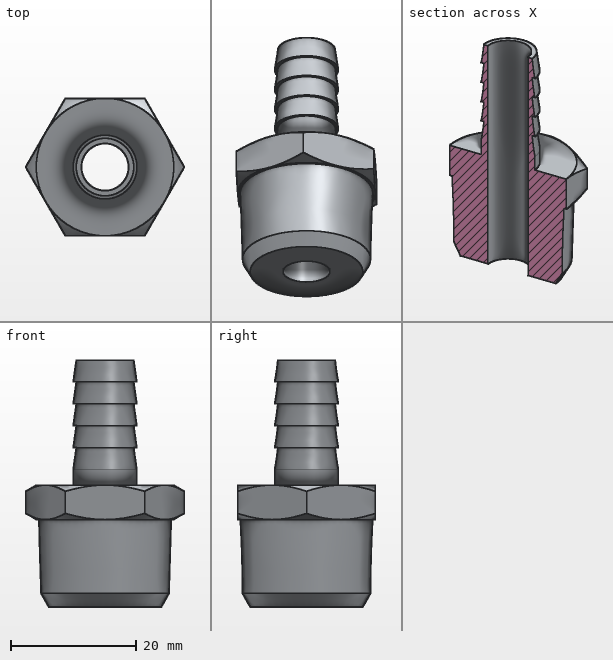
import cadquery as cq
import math

HEX_SIDES = 6
HEX_ACROSS_FLATS = 22.0
HEX_HEIGHT = 5.5
HEX_CHAMFER_ANGLE = 30.0

SPIGOT_LENGTH = 14.0
SPIGOT_TOP_DIAMETER = 21.2
SPIGOT_LOWER_DIAMETER = 20.5
SPIGOT_TIP_DIAMETER = 18.0
SPIGOT_TIP_LENGTH = 2.2

COLLAR_LENGTH = 2.5
BARB_COUNT = 5
BARB_PITCH = 3.5
BARB_LARGE_DIAMETER = 10.2
BARB_SMALL_DIAMETER = 9.2

BORE_DIAMETER = 7.5

HEX_BOTTOM = SPIGOT_LENGTH
HEX_TOP = HEX_BOTTOM + HEX_HEIGHT
BARBS_BOTTOM = HEX_TOP + COLLAR_LENGTH
TOTAL_HEIGHT = BARBS_BOTTOM + BARB_COUNT * BARB_PITCH


def revolve_profile(points):
    """Revolve a closed (radius, height) outline about the Z axis."""
    return cq.Workplane("XZ").polyline(points).close().revolve(360, (0, 0), (0, 1))


def make_spigot():
    """Tapered spigot with a conical lead-in at its tip."""
    return revolve_profile([
        (0, 0),
        (SPIGOT_TIP_DIAMETER / 2, 0),
        (SPIGOT_LOWER_DIAMETER / 2, SPIGOT_TIP_LENGTH),
        (SPIGOT_TOP_DIAMETER / 2, HEX_BOTTOM),
        (0, HEX_BOTTOM),
    ])


def make_hexagon():
    """Hexagon with corners on the X axis, chamfered conically at both ends."""
    flat_radius = HEX_ACROSS_FLATS / 2
    corner_radius = flat_radius / math.cos(math.pi / HEX_SIDES)
    chamfer_drop = (corner_radius - flat_radius) * math.tan(math.radians(HEX_CHAMFER_ANGLE))
    prism = (
        cq.Workplane("XY")
        .workplane(offset=HEX_BOTTOM)
        .polygon(HEX_SIDES, 2 * corner_radius)
        .extrude(HEX_HEIGHT)
    )
    chamfer_envelope = revolve_profile([
        (0, HEX_BOTTOM),
        (flat_radius, HEX_BOTTOM),
        (corner_radius, HEX_BOTTOM + chamfer_drop),
        (corner_radius, HEX_TOP - chamfer_drop),
        (flat_radius, HEX_TOP),
        (0, HEX_TOP),
    ])
    return prism.intersect(chamfer_envelope)


def make_hose_tail():
    """Plain collar topped by a stack of barbs, each narrowing upward."""
    large_radius = BARB_LARGE_DIAMETER / 2
    small_radius = BARB_SMALL_DIAMETER / 2
    points = [(0, HEX_TOP), (large_radius, HEX_TOP)]
    for barb in range(BARB_COUNT):
        barb_bottom = BARBS_BOTTOM + barb * BARB_PITCH
        points.append((large_radius, barb_bottom))
        points.append((small_radius, barb_bottom + BARB_PITCH))
    points.append((0, TOTAL_HEIGHT))
    return revolve_profile(points)


def make_bore():
    """Straight passage through the full height of the fitting."""
    return cq.Workplane("XY").circle(BORE_DIAMETER / 2).extrude(TOTAL_HEIGHT)


body = make_spigot().union(make_hexagon()).union(make_hose_tail())
result = body.cut(make_bore())